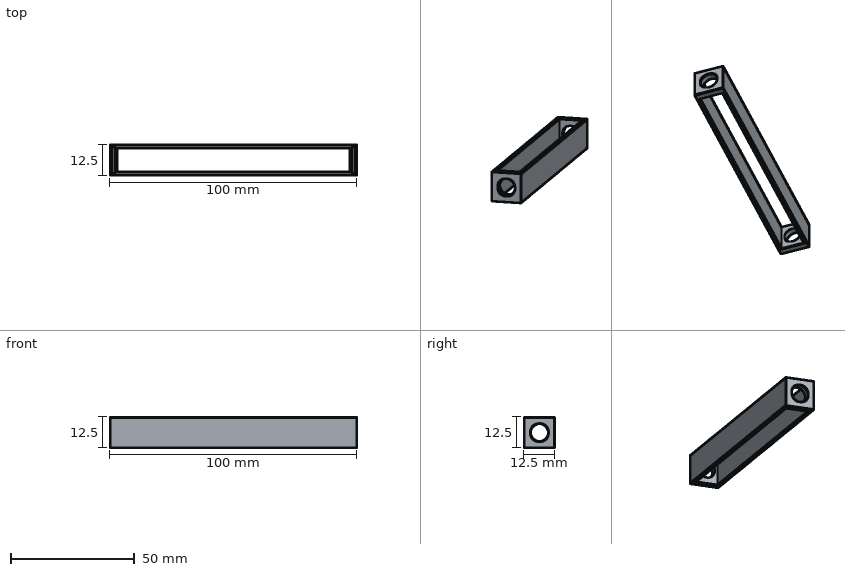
import cadquery as cq

length = 100.0
width = 12.5
height = 12.5

end_wall = width / 4
side_wall = end_wall / 2

edge_chamfer = 0.3

hole_diameter = 7.0
hole_chamfer = 0.3

recess_width = 1.0
recess_length = 10.3
recess_depth = 0.2

cavity_length = length - 2 * end_wall
cavity_width = width - 2 * side_wall
recess_center_x = (length - end_wall) / 2


def make_frame():
    """Rectangular tube along Z with chamfered outer edges and cavity rims."""
    block = cq.Workplane("XY").box(length, width, height).edges().chamfer(edge_chamfer)
    cavity = cq.Workplane("XY").box(cavity_length, cavity_width, height)
    for side in (-1, 1):
        rim = (
            cq.Workplane("XY", origin=(0, 0, side * height / 2))
            .rect(cavity_length + 2 * edge_chamfer, cavity_width + 2 * edge_chamfer)
            .workplane(offset=-side * edge_chamfer)
            .rect(cavity_length, cavity_width)
            .loft(ruled=True)
        )
        cavity = cavity.union(rim)
    return block.cut(cavity)


def cut_end_holes(body):
    """Through hole along X, chamfered where it meets the outer end faces."""
    body = body.cut(cq.Workplane("YZ").circle(hole_diameter / 2).extrude(length / 2, both=True))
    for side in (-1, 1):
        countersink = (
            cq.Workplane("YZ", origin=(side * length / 2, 0, 0))
            .circle(hole_diameter / 2 + hole_chamfer)
            .workplane(offset=-side * hole_chamfer)
            .circle(hole_diameter / 2)
            .loft(ruled=True)
        )
        body = body.cut(countersink)
    return body


def cut_end_recesses(body):
    """Shallow rectangular recess in the top of each end wall."""
    recesses = (
        cq.Workplane("XY", origin=(0, 0, height / 2))
        .pushPoints([(-recess_center_x, 0), (recess_center_x, 0)])
        .rect(recess_width, recess_length)
        .extrude(-recess_depth)
    )
    return body.cut(recesses)


result = cut_end_recesses(cut_end_holes(make_frame()))